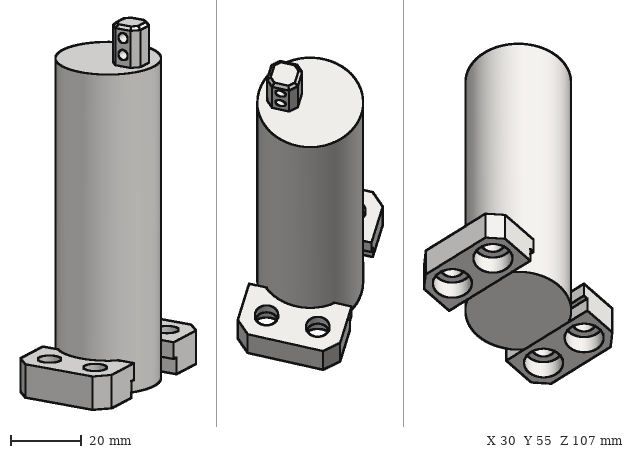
import cadquery as cq

body_diameter = 30.0
body_height = 95.0
total_height = 107.0
stem_width = 9.0
stem_corner_chamfer = 2.0
stem_top_chamfer = 1.0
stem_offset = 7.5
cross_hole_diameter = 3.0
cross_hole_spacing = 5.0
upper_cross_hole_drop = 3.5

clamp_length = body_diameter
clamp_height = 10.0
clamp_outer_y = 27.5
lip_y = 11.0
lip_bottom_z = clamp_height / 2
heel_y = 12.5
clamp_corner_chamfer = 4.0
bolt_hole_diameter = 6.6
counterbore_diameter = 11.0
counterbore_depth = 6.3
bolt_hole_spacing = 15.0
bolt_hole_y = 20.0


def clamp_blank():
    """Stepped bar on the -Y side, with a lip that overhangs its lower half."""
    profile = [
        (-clamp_outer_y, 0),
        (-heel_y, 0),
        (-heel_y, lip_bottom_z),
        (-lip_y, lip_bottom_z),
        (-lip_y, clamp_height),
        (-clamp_outer_y, clamp_height),
    ]
    return (
        cq.Workplane("YZ")
        .polyline(profile)
        .close()
        .extrude(clamp_length / 2, both=True)
    )


def bolt_cylinders(diameter, height):
    """Pair of upright cylinders that rise from the clamp's underside at the bolt places."""
    return (
        cq.Workplane("XY")
        .center(0, -bolt_hole_y)
        .rarray(bolt_hole_spacing, 1.1, 2, 1)
        .circle(diameter / 2)
        .extrude(height)
    )


def make_clamp():
    """Clamp with chamfered outer corners and two bolt holes counterbored from below."""
    clamp = clamp_blank().faces("<Y").edges("|Z").chamfer(clamp_corner_chamfer)
    clamp = clamp.cut(bolt_cylinders(bolt_hole_diameter, clamp_height))
    return clamp.cut(bolt_cylinders(counterbore_diameter, counterbore_depth))


def make_stem():
    """Square stem with chamfered corners, a bevelled top and two cross holes."""
    stem = (
        cq.Workplane("XY", origin=(stem_offset, 0, body_height))
        .rect(stem_width, stem_width)
        .extrude(total_height - body_height)
        .edges("|Z")
        .chamfer(stem_corner_chamfer)
        .faces(">Z")
        .chamfer(stem_top_chamfer)
    )
    upper_hole_z = total_height - upper_cross_hole_drop
    holes = (
        cq.Workplane("XZ")
        .pushPoints([(stem_offset, upper_hole_z), (stem_offset, upper_hole_z - cross_hole_spacing)])
        .circle(cross_hole_diameter / 2)
        .extrude(stem_width, both=True)
    )
    return stem.cut(holes)


def make_cylinder():
    """Cylinder and stem in one piece, notched on both sides to seat the clamps."""
    cylinder = cq.Workplane("XY").circle(body_diameter / 2).extrude(body_height).union(make_stem())
    for angle in (0, 180):
        cylinder = cylinder.cut(clamp_blank().rotate((0, 0, 0), (0, 0, 1), angle))
    return cylinder


cylinder = make_cylinder()
clamps = [make_clamp().rotate((0, 0, 0), (0, 0, 1), angle) for angle in (0, 180)]

result = cq.Compound.makeCompound([cylinder.val(), *[clamp.val() for clamp in clamps]])